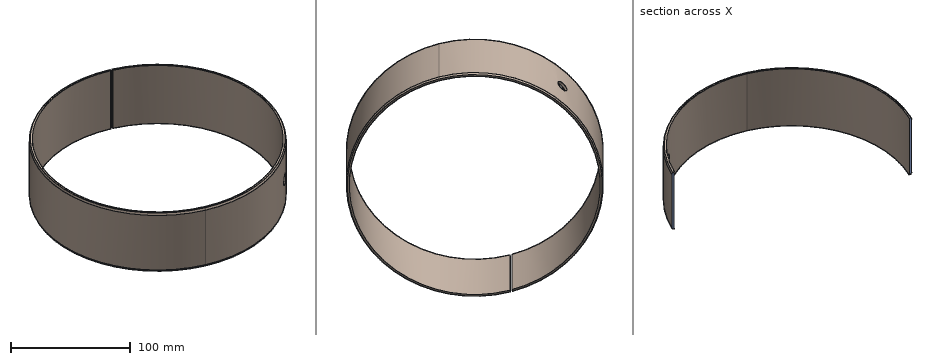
import cadquery as cq

outer_diameter = 215.0
height = 60.0
wall = 2.5
chamfer_radial = 0.9
chamfer_height = 2.0
slit_width = 1.7
hole_diameter = 10.0
hole_angle = 59.3

outer_radius = outer_diameter / 2
inner_radius = outer_radius - wall
rim_radius = outer_radius - chamfer_radial


def make_band():
    """Thin ring with the outer edge of both rims chamfered."""
    section = (
        cq.Workplane("XZ")
        .moveTo(inner_radius, 0)
        .lineTo(rim_radius, 0)
        .lineTo(outer_radius, chamfer_height)
        .lineTo(outer_radius, height - chamfer_height)
        .lineTo(rim_radius, height)
        .lineTo(inner_radius, height)
        .close()
    )
    return section.revolve(360, (0, 0, 0), (0, 1, 0))


def make_slit():
    """Full-height cutter that opens the band at -X, just on the +Y side of the XZ plane."""
    return (
        cq.Workplane("XY")
        .box(outer_radius, slit_width, height, centered=False)
        .translate((-outer_radius, 0, 0))
    )


def make_hole():
    """Radial cutter for the single hole at mid-height."""
    return (
        cq.Workplane("YZ")
        .center(0, height / 2)
        .circle(hole_diameter / 2)
        .extrude(outer_radius)
        .rotate((0, 0, 0), (0, 0, 1), hole_angle)
    )


result = make_band().cut(make_slit()).cut(make_hole())